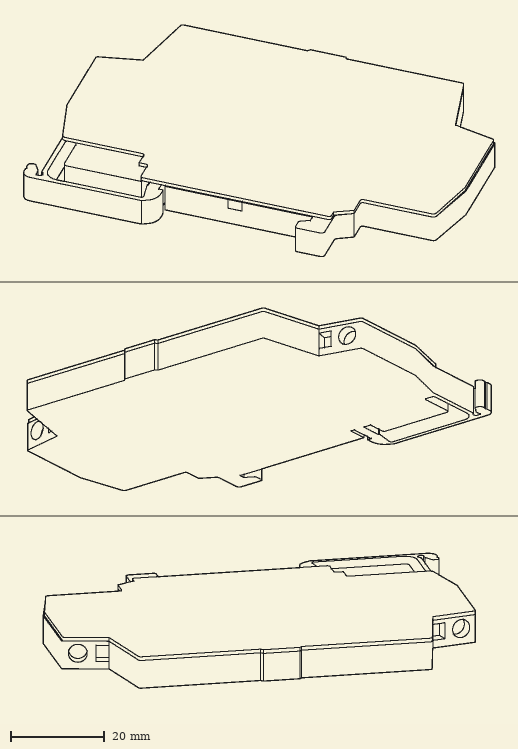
import cadquery as cq
import math


total_height = 7.0
lid_thickness = 0.8
housing_height = total_height - lid_thickness

half_width = 45.3
side_low_y = 19.95
shoulder_y = 38.7
waist_x = 35.4
waist_y = 40.9
top_half_width = 32.0
top_y = 55.9
wing_corner_x = 42.3
wing_y = 8.6
bump_left = -3.5
bump_right = 5.5
bump_height = 0.55
bump_slope = 0.5

step_x = 25.5
step_y = 4.2
foot_right = 21.9
foot_bevel_y = 2.2

lid_inset = 0.3
lid_cut_x = -23.6
lid_cut_y = 5.2
lid_cut_step_x = -21.6

foot_bottom = -4.9
foot_left = 15.3
foot_tip_y = -2.5
foot_neck_x = 17.6
foot_neck_y = -1.3

block_left = -39.0
relief_left = -21.2
relief_right = -15.9
relief_end_y = 4.6
clip_bottom = -6.6
clip_floor = -5.5
arm_left = -42.55
arm_right = -41.45
arm_meet_y = 10.25
hook_left = -46.2
hook_top = -1.65
hook_peak_x = -44.65
groove_top_y = -3.0
groove_x = -45.9
groove_y = -3.6
groove_bottom_y = -3.8
hook_slot_x = -43.4
hook_slope_y = -3.7
hook_slot_bottom = -5.2
slot_bulge_x = -42.0
slot_bulge_y = -3.8
root_left = -19.4
root_right = -16.8
root_bead_x = -19.7
root_bead_top = -0.55
root_bead_bottom = -0.8
root_inner_x = -18.85
root_ledge_y = -1.4
root_outer_x = -15.8
root_arc_top = -2.8
root_arc_foot = (-17.2, -5.7)
root_flat_x = -18.85

corner_radius = 0.55
large_radius = 0.8
hook_radius = 1.9
hook_top_radius = 0.9
clip_inner_radius = 2.7

tab_width = 3.1
tab_drop = 2.3
tab_depth = 0.9

opening_z = total_height / 2
window_height = 3.6
window_length = 2.8
screw_diameter = 4.0
screw_start = 6.7
opening_depth = 2.7


def round_corners(body, corners, radius):
    """Fillet the vertical edges that stand at the given XY corners."""
    tolerance = 0.01
    edges = [
        edge
        for edge in body.edges("|Z").vals()
        if any(math.hypot(edge.Center().x - x, edge.Center().y - y) < tolerance for x, y in corners)
    ]
    return body.newObject(edges).fillet(radius)


def upper_outline(sketch, right_x):
    """Draw from the right wing's lower corner over the top to the left wall's lower end."""
    return (
        sketch.lineTo(right_x, side_low_y)
        .lineTo(right_x, shoulder_y)
        .lineTo(waist_x, waist_y)
        .lineTo(top_half_width, top_y)
        .lineTo(bump_right, top_y)
        .lineTo(bump_right - bump_slope, top_y + bump_height)
        .lineTo(bump_left + bump_slope, top_y + bump_height)
        .lineTo(bump_left, top_y)
        .lineTo(-top_half_width, top_y)
        .lineTo(-waist_x, waist_y)
        .lineTo(-half_width, shoulder_y)
        .lineTo(-half_width, side_low_y)
    )


def upper_corners(right_x):
    """Outer corners of the upper outline that are rounded."""
    return [
        (right_x, shoulder_y),
        (top_half_width, top_y),
        (-top_half_width, top_y),
        (-half_width, shoulder_y),
    ]


def snap_tab():
    """Block below the lid, flush with the housing's rail edge."""
    return (
        cq.Workplane("XY", origin=(0, 0, housing_height - tab_drop))
        .center(0, tab_depth / 2)
        .rect(tab_width, tab_depth)
        .extrude(tab_drop)
    )


def shoulder_openings(side):
    """Cutters for the wire window and screw hole of one shoulder; side is -1 or +1."""
    rise = waist_y - shoulder_y
    run = half_width - waist_x
    length = math.hypot(run, rise)
    along = cq.Vector(side * run / length, -rise / length, 0)
    inward = cq.Vector(-side * rise / length, -run / length, 0)
    face = cq.Plane(
        origin=(side * waist_x, waist_y, opening_z),
        xDir=along.toTuple(),
        normal=inward.toTuple(),
    )
    window = (
        cq.Workplane(face)
        .center(window_length / 2, 0)
        .rect(window_length, window_height)
        .extrude(opening_depth)
    )
    screw_hole = cq.Workplane(face).center(screw_start, 0).circle(screw_diameter / 2).extrude(opening_depth)
    return window.union(screw_hole)


def root_arc_middle():
    """Middle of the clip root's arc, which runs tangentially into the vertical outer face."""
    run = root_outer_x - root_arc_foot[0]
    drop = root_arc_top - root_arc_foot[1]
    radius = (run**2 + drop**2) / (2 * run)
    half_angle = math.asin(drop / radius) / 2
    return (
        root_outer_x - radius * (1 - math.cos(half_angle)),
        root_arc_top - radius * math.sin(half_angle),
    )


def clip_opening():
    """Open space between the arm, the terminal block and the clip root."""
    opening = (
        cq.Workplane("XY")
        .moveTo(arm_right, wing_y)
        .lineTo(arm_right, clip_floor)
        .lineTo(root_inner_x, clip_floor)
        .lineTo(root_bead_x, root_bead_bottom)
        .lineTo(root_bead_x, root_bead_top)
        .lineTo(root_left, root_bead_top)
        .lineTo(root_left, relief_end_y)
        .lineTo(relief_left, relief_end_y)
        .lineTo(relief_left, 0)
        .lineTo(block_left, 0)
        .lineTo(block_left, wing_y)
        .close()
        .extrude(housing_height)
    )
    opening = round_corners(opening, [(arm_right, clip_floor)], clip_inner_radius)
    opening = round_corners(opening, [(block_left, 0)], large_radius)
    small_corners = [(root_inner_x, clip_floor), (arm_right, wing_y), (block_left, wing_y)]
    return round_corners(opening, small_corners, corner_radius)


def make_housing():
    """Full-height body with the rail clip, the fixed foot and the terminal block."""
    sketch = cq.Workplane("XY").moveTo(wing_corner_x, wing_y)
    outline = (
        upper_outline(sketch, half_width)
        .lineTo(arm_left, arm_meet_y)
        .lineTo(arm_left, slot_bulge_y)
        .threePointArc((slot_bulge_x, (slot_bulge_y + hook_slot_bottom) / 2), (arm_left, hook_slot_bottom))
        .lineTo(hook_slot_x, hook_slot_bottom)
        .lineTo(hook_slot_x, hook_slope_y)
        .lineTo(hook_peak_x, hook_top)
        .lineTo(hook_left, hook_top)
        .lineTo(hook_left, groove_top_y)
        .lineTo(groove_x, groove_y)
        .lineTo(hook_left, groove_bottom_y)
        .lineTo(hook_left, clip_bottom)
        .lineTo(root_flat_x, clip_bottom)
        .lineTo(*root_arc_foot)
        .threePointArc(root_arc_middle(), (root_outer_x, root_arc_top))
        .lineTo(root_outer_x, root_ledge_y)
        .lineTo(root_right, root_ledge_y)
        .lineTo(root_right, relief_end_y)
        .lineTo(relief_right, relief_end_y)
        .lineTo(relief_right, 0)
        .lineTo(foot_neck_x, 0)
        .lineTo(foot_neck_x, foot_neck_y)
        .lineTo(foot_left, foot_tip_y)
        .lineTo(foot_left, foot_bottom)
        .lineTo(foot_right, foot_bottom)
        .lineTo(foot_right, foot_bevel_y)
        .lineTo(step_x, step_y)
        .lineTo(step_x, wing_y)
        .close()
    )
    body = outline.extrude(housing_height)
    body = body.cut(clip_opening())

    body = round_corners(body, upper_corners(half_width), corner_radius)
    body = round_corners(body, [(hook_left, clip_bottom)], hook_radius)
    body = round_corners(body, [(hook_left, hook_top)], hook_top_radius)
    large_corners = [(foot_right, foot_bottom), (foot_right, foot_bevel_y), (wing_corner_x, wing_y)]
    body = round_corners(body, large_corners, large_radius)
    small_corners = [
        (foot_left, foot_bottom),
        (foot_left, foot_tip_y),
        (step_x, wing_y),
        (hook_peak_x, hook_top),
    ]
    body = round_corners(body, small_corners, corner_radius)

    for side in (-1, 1):
        body = body.cut(shoulder_openings(side))
    return body.cut(snap_tab())


def make_lid():
    """Thin cover plate with one snap tab that fills a notch in the housing."""
    right_x = half_width - lid_inset
    corner_x = foot_right - lid_inset
    sketch = cq.Workplane("XY", origin=(0, 0, housing_height)).moveTo(wing_corner_x, wing_y)
    plate = (
        upper_outline(sketch, right_x)
        .lineTo(-wing_corner_x, wing_y)
        .lineTo(lid_cut_x, wing_y)
        .lineTo(lid_cut_x, lid_cut_y)
        .lineTo(lid_cut_step_x, lid_cut_y)
        .lineTo(lid_cut_step_x, lid_inset)
        .lineTo(corner_x, lid_inset)
        .lineTo(corner_x, foot_bevel_y)
        .lineTo(step_x, step_y)
        .lineTo(step_x, wing_y)
        .close()
        .extrude(lid_thickness)
    )
    plate = round_corners(plate, upper_corners(right_x), corner_radius)
    plate = round_corners(plate, [(-wing_corner_x, wing_y), (wing_corner_x, wing_y)], large_radius)
    small_corners = [
        (lid_cut_x, wing_y),
        (lid_cut_step_x, lid_cut_y),
        (lid_cut_step_x, lid_inset),
        (corner_x, lid_inset),
        (step_x, wing_y),
    ]
    plate = round_corners(plate, small_corners, corner_radius)
    return plate.union(snap_tab())


housing = make_housing()
lid = make_lid()
result = cq.Compound.makeCompound([housing.val(), lid.val()])